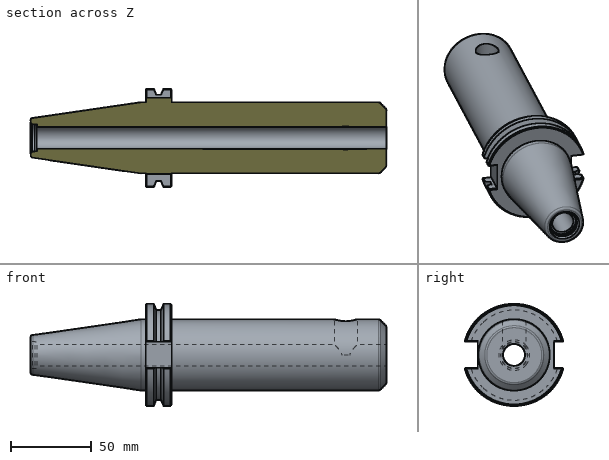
import cadquery as cq
import math

total_length = 220.6
shank_radius = 44.4 / 2
taper_length = 68.5
taper_ratio = 7 / 24
small_end_radius = shank_radius - taper_length * taper_ratio / 2
small_end_rounding = 1.5

flange_radius = 63.5 / 2
flange_start = 71.5
flange_width = 16.0
flange_end = flange_start + flange_width
front_chamfer = 0.7
rear_chamfer = 1.0
groove_centre = flange_start + 8.0
groove_mouth = 6.2
groove_floor = 2.9
groove_depth = 3.8

slot_width = 16.0
slot_bevel = 0.7
slot_floor_shallow = 22.5
slot_floor_deep = 25.0

nose_chamfer = 4.5
nose_blend = 1.8

bore_diameter = 13.5
counterbore_diameter = 16.8
counterbore_depth = 4.0
inner_step_diameter = 16.3
inner_step_start = 2.6
mouth_diameter = 19.0
mouth_depth = 1.0

screw_diameter = 14.3
screw_position = 195.3


def revolve_about_x(points):
    """Revolve an (x, radius) outline about the X axis."""
    return cq.Workplane("XY").polyline(points).close().revolve(360, (0, 0, 0), (1, 0, 0))


def make_body():
    """Taper and cylindrical shank with a rounded small end and a bevelled nose."""
    body = revolve_about_x([
        (0, 0),
        (0, small_end_radius),
        (taper_length, shank_radius),
        (total_length - nose_chamfer, shank_radius),
        (total_length, shank_radius - nose_chamfer),
        (total_length, 0),
    ])
    body = body.faces("<X").edges().fillet(small_end_rounding)
    return body.faces("%CONE").faces(">X").edges("%CIRCLE").fillet(nose_blend)


def make_drive_slot(floor):
    """Cutter for the +Y slot, flared so the slot walls get bevelled ends and rims."""
    half_width = slot_width / 2
    wide_half = half_width + slot_bevel
    across = (
        cq.Workplane("XZ", origin=(0, flange_radius, 0))
        .moveTo(flange_start, -wide_half)
        .lineTo(flange_start + slot_bevel, -half_width)
        .lineTo(flange_end - slot_bevel, -half_width)
        .lineTo(flange_end, -wide_half)
        .lineTo(flange_end, wide_half)
        .lineTo(flange_end - slot_bevel, half_width)
        .lineTo(flange_start + slot_bevel, half_width)
        .lineTo(flange_start, wide_half)
        .close()
        .extrude(flange_radius - floor)
    )
    rim_y = math.sqrt(flange_radius**2 - wide_half**2)
    along = (
        cq.Workplane("YZ", origin=(flange_start, 0, 0))
        .moveTo(rim_y - slot_bevel, -half_width)
        .lineTo(rim_y, -wide_half)
        .lineTo(flange_radius, -wide_half)
        .lineTo(flange_radius, wide_half)
        .lineTo(rim_y, wide_half)
        .lineTo(rim_y - slot_bevel, half_width)
        .close()
        .extrude(flange_width)
    )
    return across.union(along)


def make_flange():
    """Grooved flange with a slot on each side for the drive keys."""
    floor_radius = flange_radius - groove_depth
    flange = revolve_about_x([
        (flange_start, 0),
        (flange_start, flange_radius - front_chamfer),
        (flange_start + front_chamfer, flange_radius),
        (groove_centre - groove_mouth / 2, flange_radius),
        (groove_centre - groove_floor / 2, floor_radius),
        (groove_centre + groove_floor / 2, floor_radius),
        (groove_centre + groove_mouth / 2, flange_radius),
        (flange_end - rear_chamfer, flange_radius),
        (flange_end, flange_radius - rear_chamfer),
        (flange_end, 0),
    ])
    flange = flange.cut(make_drive_slot(slot_floor_deep))
    return flange.cut(make_drive_slot(slot_floor_shallow).mirror("XZ"))


def make_axial_bore():
    """Through bore with a stepped counterbore and a conical mouth at the small end."""
    return revolve_about_x([
        (0, 0),
        (0, mouth_diameter / 2),
        (mouth_depth, counterbore_diameter / 2),
        (inner_step_start, counterbore_diameter / 2),
        (inner_step_start, inner_step_diameter / 2),
        (counterbore_depth, inner_step_diameter / 2),
        (counterbore_depth, bore_diameter / 2),
        (total_length, bore_diameter / 2),
        (total_length, 0),
    ])


def make_screw_hole():
    """Radial hole from the top of the shank down to the axial bore."""
    return cq.Workplane("XY").center(screw_position, 0).circle(screw_diameter / 2).extrude(shank_radius)


result = make_body().union(make_flange()).cut(make_axial_bore()).cut(make_screw_hole())